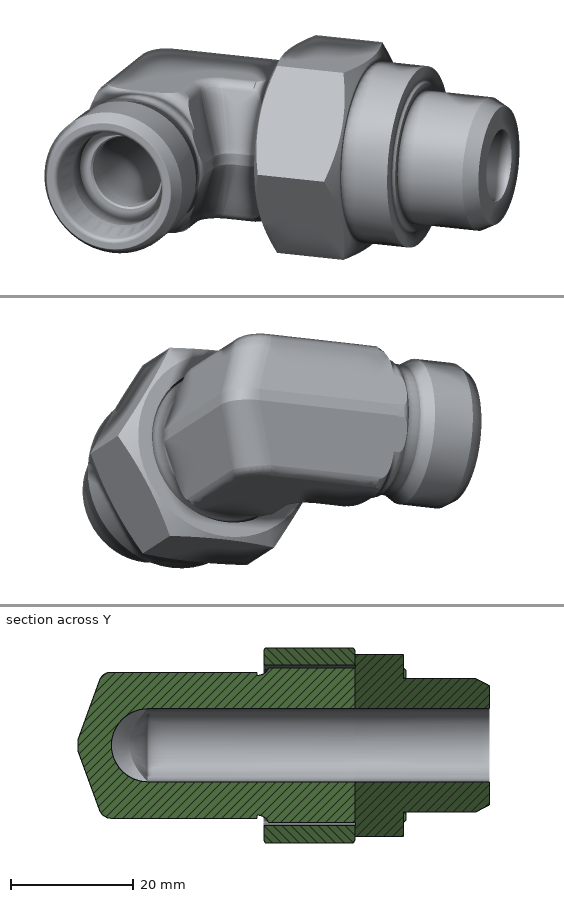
import cadquery as cq
import math


TOTAL_LENGTH = 68.0
PORT_DIAMETER = 24.0
PORT_RADIUS = PORT_DIAMETER / 2
BRANCH_END = 33.0
STUD_END = TOTAL_LENGTH - PORT_RADIUS
BORE_RADIUS = 12.0 / 2
DRILL_TIP = 5.85

BLOCK_HALF_HEIGHT = PORT_RADIUS
BLOCK_HALF_WIDTH = 11.5
SIDE_STRIP_HALF = 0.95
SIDE_DRAFT = 20.0
OUTER_BEND_RADIUS = 4.75
INNER_BEND_RADIUS = 2.85
TOP_EDGE_RADIUS = 2.0
BLOCK_END = 20.05

SHOULDER_START = 16.0
SHOULDER_RADIUS = 2.0
COLLAR_START = SHOULDER_START + SHOULDER_RADIUS
RELIEF_START = 18.9
RELIEF_END = BLOCK_END
RELIEF_ROUND = 1.35
CUT_OUTER_RADIUS = 20.4

NECK_RADIUS = 21.6 / 2
NECK_END = 22.1
PORT_START = 24.2
PORT_CHAMFER_ANGLE = 30.0
PORT_RIM_ROUND = 0.2
TUBE_RADIUS = 16.2 / 2
TUBE_STOP_DEPTH = 8.4
CONE_DEPTH = 5.2
CONE_HALF_ANGLE = 12.0
MOUTH_RADIUS = 19.45 / 2
MOUTH_ROUND_DEPTH = 0.6
MOUTH_ROUND_RADIUS = 0.75
BORE_CHAMFER = 0.3

NUT_START = 19.0
NUT_LENGTH = 14.95
NUT_END = NUT_START + NUT_LENGTH
NUT_ACROSS_FLATS = 32.0
NUT_FACE_RADIUS = 31.15 / 2
NUT_CHAMFER_ANGLE = 30.0
NUT_HOLE_RADIUS = 26.25 / 2
FLANGE_RADIUS = 25.4 / 2
FLANGE_FACE_RADIUS = 25.2 / 2
FLANGE_FILLET = 2.0

STUD_COLLAR_RADIUS = 29.9 / 2
STUD_COLLAR_LENGTH = 8.0
STUD_COLLAR_END = NUT_END + STUD_COLLAR_LENGTH
STUD_RADIUS = 22.0 / 2
STUD_TIP_RADIUS = 19.6 / 2
STUD_CHAMFER_LENGTH = 2.4
SEAL_RADIUS = 25.2 / 2
SEAL_THICKNESS = 0.4
SEAL_CHAMFER = 0.35


def tan_deg(angle):
    return math.tan(math.radians(angle))


def turned(profile):
    """Revolve an outline of (radius, distance) points about the distance axis, which is Z."""
    return profile.close().revolve(360, (0, 0, 0), (0, 1, 0))


def outline(points):
    return cq.Workplane("XZ").polyline(points)


def along_run(shape):
    return shape.rotate((0, 0, 0), (0, 1, 0), 90)


def along_branch(shape):
    return shape.rotate((0, 0, 0), (1, 0, 0), 90)


def bend_outline(half_width, height):
    """L-shaped plan of the block at one height, with rounded outer and inner corners."""
    w = half_width
    outer = OUTER_BEND_RADIUS
    inner = INNER_BEND_RADIUS
    return (
        cq.Workplane("XY", origin=(0, 0, height))
        .moveTo(-w, -BLOCK_END)
        .lineTo(-w, w - outer)
        .radiusArc((outer - w, w), outer)
        .lineTo(BLOCK_END, w)
        .lineTo(BLOCK_END, -w)
        .lineTo(w + inner, -w)
        .radiusArc((w, -w - inner), -inner)
        .lineTo(w, -BLOCK_END)
        .close()
    )


def elbow_block():
    """L-shaped block with an upright strip at mid height and sides sloping to top and bottom."""
    slope_height = BLOCK_HALF_HEIGHT - SIDE_STRIP_HALF
    top_half_width = BLOCK_HALF_WIDTH - slope_height * tan_deg(SIDE_DRAFT)
    strip = bend_outline(BLOCK_HALF_WIDTH, -SIDE_STRIP_HALF).extrude(2 * SIDE_STRIP_HALF)
    lower_wire = bend_outline(BLOCK_HALF_WIDTH, SIDE_STRIP_HALF).val()
    upper_wire = bend_outline(top_half_width, BLOCK_HALF_HEIGHT).val()
    slope = cq.Workplane(cq.Solid.makeLoft([lower_wire, upper_wire], True))
    top_rim = slope.faces(">Z").edges("not(<Y or >X)")
    slope = top_rim.fillet(TOP_EDGE_RADIUS)
    return strip.union(slope).union(slope.mirror("XY"))


def shoulder_cut():
    """Ring turned away around an arm end, leaving a round collar below a hollow round shoulder."""
    return turned(
        cq.Workplane("XZ")
        .moveTo(CUT_OUTER_RADIUS, SHOULDER_START)
        .lineTo(BLOCK_HALF_WIDTH + SHOULDER_RADIUS, SHOULDER_START)
        .radiusArc((BLOCK_HALF_WIDTH, COLLAR_START), -SHOULDER_RADIUS)
        .lineTo(BLOCK_HALF_WIDTH, BLOCK_END)
        .lineTo(CUT_OUTER_RADIUS, BLOCK_END)
    )


def relief_cut():
    """Ring turned away between the branch collar and the port neck."""
    return turned(
        cq.Workplane("XZ")
        .moveTo(CUT_OUTER_RADIUS, RELIEF_START)
        .lineTo(BLOCK_HALF_WIDTH, RELIEF_START)
        .radiusArc((NECK_RADIUS, RELIEF_END), -RELIEF_ROUND)
        .lineTo(CUT_OUTER_RADIUS, RELIEF_END)
    )


def port():
    """Threaded port: neck, back cone, cylinder and chamfered rim."""
    chamfer_length = (PORT_RADIUS - NECK_RADIUS) / tan_deg(PORT_CHAMFER_ANGLE)
    body = turned(outline([
        (0, RELIEF_END),
        (NECK_RADIUS, RELIEF_END),
        (NECK_RADIUS, NECK_END),
        (PORT_RADIUS, PORT_START),
        (PORT_RADIUS, BRANCH_END - chamfer_length),
        (NECK_RADIUS, BRANCH_END),
        (0, BRANCH_END),
    ]))
    return body.faces(">Z").edges().fillet(PORT_RIM_ROUND)


def flange():
    """Round flange on the run, held inside the nut, with a fillet down to the block."""
    rise = FLANGE_FACE_RADIUS - BLOCK_HALF_WIDTH
    fillet_length = math.sqrt(FLANGE_FILLET**2 - (FLANGE_FILLET - rise) ** 2)
    face = COLLAR_START + fillet_length
    profile = (
        cq.Workplane("XZ")
        .moveTo(0, COLLAR_START)
        .lineTo(BLOCK_HALF_WIDTH, COLLAR_START)
        .radiusArc((FLANGE_FACE_RADIUS, face), FLANGE_FILLET)
        .lineTo(FLANGE_RADIUS, face + FLANGE_RADIUS - FLANGE_FACE_RADIUS)
        .lineTo(FLANGE_RADIUS, NUT_END)
        .lineTo(0, NUT_END)
    )
    return turned(profile)


def drilled_bore(end):
    """Bore drilled from an end to the crossing of the axes, closing in a cone."""
    return turned(outline([(0, -DRILL_TIP), (BORE_RADIUS, 0), (BORE_RADIUS, end), (0, end)]))


def tube_socket():
    """Stepped seat in the port: bore chamfer, tube cylinder, sealing cone and rounded mouth."""
    stop = BRANCH_END - TUBE_STOP_DEPTH
    cone_start = BRANCH_END - CONE_DEPTH
    round_start = BRANCH_END - MOUTH_ROUND_DEPTH
    cone_radius = TUBE_RADIUS + (round_start - cone_start) * tan_deg(CONE_HALF_ANGLE)
    profile = (
        outline([
            (0, stop - BORE_CHAMFER),
            (BORE_RADIUS, stop - BORE_CHAMFER),
            (BORE_RADIUS + BORE_CHAMFER, stop),
            (TUBE_RADIUS, stop),
            (TUBE_RADIUS, cone_start),
            (cone_radius, round_start),
        ])
        .radiusArc((MOUTH_RADIUS, BRANCH_END), MOUTH_ROUND_RADIUS)
        .lineTo(0, BRANCH_END)
    )
    return turned(profile)


def make_elbow():
    elbow = elbow_block()
    elbow = elbow.cut(along_branch(shoulder_cut())).cut(along_run(shoulder_cut()))
    elbow = elbow.cut(along_branch(relief_cut()))
    elbow = elbow.union(along_branch(port())).union(along_run(flange()))
    bores = along_branch(drilled_bore(BRANCH_END)).union(along_run(drilled_bore(NUT_END)))
    return elbow.cut(bores).cut(along_branch(tube_socket()))


def make_nut():
    """Hexagon nut with chamfered ends, two flats level and two corners on the Y axis."""
    corner_radius = NUT_ACROSS_FLATS / 2 / math.cos(math.radians(30))
    chamfer_length = (corner_radius - NUT_FACE_RADIUS) * tan_deg(NUT_CHAMFER_ANGLE)
    hexagon = (
        cq.Workplane("XY").workplane(offset=NUT_START)
        .polygon(6, 2 * corner_radius).extrude(NUT_LENGTH)
        .rotate((0, 0, 0), (0, 0, 1), 90)
    )
    envelope = turned(outline([
        (NUT_HOLE_RADIUS, NUT_START),
        (NUT_FACE_RADIUS, NUT_START),
        (corner_radius, NUT_START + chamfer_length),
        (corner_radius, NUT_END - chamfer_length),
        (NUT_FACE_RADIUS, NUT_END),
        (NUT_HOLE_RADIUS, NUT_END),
    ]))
    return along_run(hexagon.intersect(envelope))


def make_stud():
    """Collar and threaded stud with a chamfered tip and a through bore."""
    return along_run(turned(outline([
        (BORE_RADIUS, NUT_END),
        (STUD_COLLAR_RADIUS, NUT_END),
        (STUD_COLLAR_RADIUS, STUD_COLLAR_END),
        (STUD_RADIUS, STUD_COLLAR_END),
        (STUD_RADIUS, STUD_END - STUD_CHAMFER_LENGTH),
        (STUD_TIP_RADIUS, STUD_END),
        (BORE_RADIUS, STUD_END),
    ])))


def make_seal():
    """Flat seal ring around the stud, against the collar."""
    seal_end = STUD_COLLAR_END + SEAL_THICKNESS
    return along_run(turned(outline([
        (STUD_RADIUS, STUD_COLLAR_END),
        (SEAL_RADIUS, STUD_COLLAR_END),
        (SEAL_RADIUS - SEAL_CHAMFER, seal_end),
        (STUD_RADIUS, seal_end),
    ])))


elbow = make_elbow()
nut = make_nut()
stud = make_stud()
seal = make_seal()

result = cq.Compound.makeCompound([
    elbow.solids().val(),
    nut.solids().val(),
    stud.val(),
    seal.val(),
])